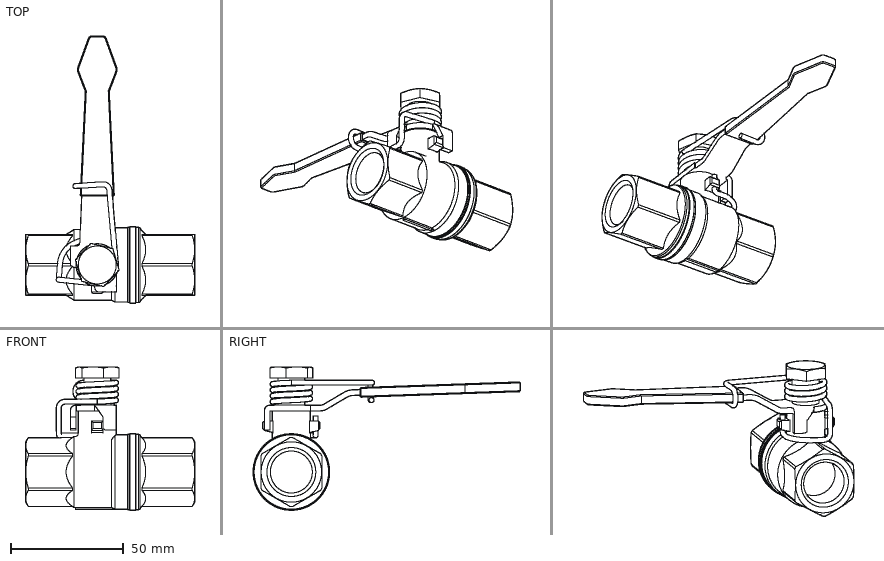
import cadquery as cq
import math


BODY_LENGTH = 75.0
TOTAL_DEPTH = 118.5
TOTAL_HEIGHT = 63.6

LEFT_END_X = -31.8
RIGHT_END_X = LEFT_END_X + BODY_LENGTH
HEX_FLATS = 27.0
HEX_TURNED_R = 15.3
END_FACE_R = 13.4
END_CHAMFER = 1.2
BARREL_R = 15.8
SLEEVE_R = 33.0 / 2
SHOULDER_R = 33.5 / 2
RING_R = 34.0 / 2
CONE_FOOT_R = 13.0
CONE_LEFT_X = -14.6
BARREL_START_X = -10.3
BARREL_START_R = 15.5
BARREL_END_X = 6.4
SLEEVE_START_X = 7.9
RING_START_X = 14.6
RING_END_X = 16.8
SHOULDER_LEAD = 1.0
SHOULDER_END_X = 18.2
NOSE_X = 19.0
NOSE_R = 16.5
CONE_TOP_X = 19.5
CONE_TOP_R = 15.5
CONE_RIGHT_X = 21.9
STEP_BEVEL = 0.2

BORE_D = 18.6
BORE_MOUTH_D = 21.7
BORE_MOUTH_DEPTH = 1.5
BORE_DEPTH = 16.6

RIB_WIDTH = 1.4
RIB_START_X = -9.7
RIB_END_X = SLEEVE_START_X
RIB_HEIGHT = 5.9

NECK_D = 17.0
NECK_FILLET = 1.2
SADDLE_MARGIN = 0.6
PIN_WIDTH = 5.2
PIN_REACH = 12.7
PIN_TOP_Z = 22.6
PIN_TIP_BOTTOM_Z = 18.6
PIN_ROOT_BOTTOM_Z = 17.2
PIN_CHAMFER = 0.7
PIN_EMBED = 1.2

SHEET = 2.6
PLATE_TOP_Z = 29.6
PLATE_BOTTOM_Z = PLATE_TOP_Z - SHEET
PLATE_SIDE = 8.4
TAB_INNER = 9.4
TAB_BOTTOM_Z = 18.6
TAB_INNER_EDGE = 2.6
TAB_ROOT_EDGE = -1.2
TAB_SLANT_Z = 24.3
TAB_CORNER = 0.7
TAB_BEND_R = 2.5
PLATE_ROUND_D = 18.6

ARM_ROOT_HALF = 7.8
ARM_END_HALF = 6.8
ARM_RAMP_Y = 13.6
ARM_KNEE_Y = 25.1
ARM_END_Y = 35.5
RAMP_ANGLE = 30.5
GRIP_ANGLE = 2.0
FOOT_BEND_R = 3.3
KNEE_BEND_R = 5.7
ARM_ROOT_FILLET = 1.4

GRIP_START_Y = 30.5
GRIP_TIP_Y = TOTAL_DEPTH - RING_R
GRIP_THICKNESS = 4.4
GRIP_START_HALF = 7.6
GRIP_WAIST_Y = 76.9
GRIP_WAIST_HALF = 5.3
GRIP_WIDE_Y = 86.5
GRIP_WIDE_HALF = 9.0
GRIP_TIP_HALF = 3.5
GRIP_TIP_ROUND = 1.8
GRIP_WIDE_ROUND = 2.4
GRIP_EDGE = 0.5

NUT_TOP_Z = TOTAL_HEIGHT - RING_R
NUT_BOTTOM_Z = 41.6
NUT_FLATS = 17.3
NUT_TURN = -13.4
NUT_CHAMFER_R = 8.4
NUT_CHAMFER_H = 0.6
SHANK_D = 12.0

WIRE_D = 2.3
COIL_R = 8.3
COIL_BOTTOM_Z = 31.2
COIL_TOP_Z = 39.6
COIL_TURNS = 3.25
LOOP_Z = 16.2
HOOK_R = 3.8
HOOK_BOTTOM_Z = 31.9
HOOK_Y = 35.0
HOOK_LEFT_X = -9.7
HOOK_CORNER = (5.1, 35.9)
HOOK_CORNER_R = 2.7
HOOK_TIP = (2.4, 35.5)
LOOP_NEAR_CORNER = (-17.1, -6.5)
LOOP_FAR_CORNER = (-16.0, 7.2)
LOOP_PIN_Y = 10.8
LOOP_PIN_TURN_X = -7.3
LOOP_TIP_X = -0.6
LOOP_TIP_Z = 24.9
LOOP_BENDS = [2.8, 2.7, 10.7, 3.5, 1.8]


def turned(profile):
    """Revolve an (x, radius) outline about the X axis."""
    return cq.Workplane("XY").polyline(profile).close().revolve(360, (0, 0, 0), (1, 0, 0))


def make_body():
    hexagon = (
        cq.Workplane("YZ", origin=(LEFT_END_X, 0, 0))
        .polygon(6, HEX_FLATS / math.cos(math.pi / 6))
        .extrude(BODY_LENGTH)
        .rotate((0, 0, 0), (1, 0, 0), 30)
    )
    envelope = turned([
        (LEFT_END_X, 0),
        (LEFT_END_X, END_FACE_R),
        (LEFT_END_X + END_CHAMFER, HEX_TURNED_R),
        (RIGHT_END_X - END_CHAMFER, HEX_TURNED_R),
        (RIGHT_END_X, END_FACE_R),
        (RIGHT_END_X, 0),
    ])
    barrel = turned([
        (CONE_LEFT_X, 0),
        (CONE_LEFT_X, CONE_FOOT_R),
        (BARREL_START_X - STEP_BEVEL, BARREL_START_R),
        (BARREL_START_X, BARREL_R),
        (BARREL_END_X, BARREL_R),
        (SLEEVE_START_X, SLEEVE_R),
        (RING_START_X - SHOULDER_LEAD - STEP_BEVEL, SLEEVE_R),
        (RING_START_X - SHOULDER_LEAD, SHOULDER_R),
        (RING_START_X - STEP_BEVEL, SHOULDER_R),
        (RING_START_X, RING_R),
        (RING_END_X, RING_R),
        (RING_END_X + STEP_BEVEL, SHOULDER_R),
        (SHOULDER_END_X, SHOULDER_R),
        (NOSE_X, NOSE_R),
        (CONE_TOP_X, CONE_TOP_R),
        (CONE_RIGHT_X, CONE_FOOT_R),
        (CONE_RIGHT_X, 0),
    ])
    rib = (
        cq.Workplane("XY", origin=(0, 0, -SLEEVE_R))
        .center((RIB_START_X + RIB_END_X) / 2, 0)
        .rect(RIB_END_X - RIB_START_X, RIB_WIDTH)
        .extrude(RIB_HEIGHT)
    )
    return hexagon.intersect(envelope).union(barrel).union(rib)


def make_bore(end_x, inward):
    """Blind bore with a tapered mouth, cut from one end of the body."""
    return turned([
        (end_x, 0),
        (end_x, BORE_MOUTH_D / 2),
        (end_x + inward * BORE_MOUTH_DEPTH, BORE_D / 2),
        (end_x + inward * BORE_DEPTH, BORE_D / 2),
        (end_x + inward * BORE_DEPTH, 0),
    ])


def make_neck():
    """Neck blended onto a short length of the barrel, which later merges with the body."""
    saddle = cq.Workplane("YZ").circle(BARREL_R).extrude(NECK_D / 2 + NECK_FILLET + SADDLE_MARGIN, both=True)
    neck = cq.Workplane("XY").circle(NECK_D / 2).extrude(PLATE_BOTTOM_Z)
    root_box = cq.selectors.BoxSelector((-NECK_D, -NECK_D, BARREL_R / 2), (NECK_D, NECK_D, BARREL_R + 1.2))
    return saddle.union(neck).edges(root_box).fillet(NECK_FILLET)


def make_pin():
    """Stop pin on the -Y side of the neck, propped by a sloping underside."""
    root = NECK_D / 2 - PIN_EMBED
    return (
        cq.Workplane("YZ")
        .polyline([
            (-root, PIN_TOP_Z),
            (-PIN_REACH, PIN_TOP_Z),
            (-PIN_REACH, PIN_TIP_BOTTOM_Z),
            (-root, PIN_ROOT_BOTTOM_Z),
        ])
        .close()
        .extrude(PIN_WIDTH / 2, both=True)
        .faces("<Y").chamfer(PIN_CHAMFER)
    )


def make_tab():
    """Stop tab bent down along the -Y side of the plate."""
    return (
        cq.Workplane("XZ", origin=(0, -TAB_INNER, 0))
        .polyline([
            (TAB_ROOT_EDGE, PLATE_TOP_Z),
            (PLATE_SIDE, PLATE_TOP_Z),
            (PLATE_SIDE, TAB_BOTTOM_Z),
            (TAB_INNER_EDGE + TAB_CORNER, TAB_BOTTOM_Z),
            (TAB_INNER_EDGE, TAB_BOTTOM_Z + TAB_CORNER),
            (TAB_INNER_EDGE, TAB_SLANT_Z),
        ])
        .close()
        .extrude(SHEET)
        .edges("<Y and >Z").fillet(TAB_BEND_R)
    )


def make_plate():
    sheet = cq.Workplane("XY", origin=(0, 0, PLATE_BOTTOM_Z))
    width = TAB_INNER + PLATE_SIDE
    middle = (PLATE_SIDE - TAB_INNER) / 2
    square = sheet.center(middle, middle).rect(width, width).extrude(SHEET)
    corner_middle = TAB_ROOT_EDGE - width / 2
    corner = sheet.center(corner_middle, corner_middle).rect(width, width).extrude(SHEET)
    disc = sheet.circle(PLATE_ROUND_D / 2).extrude(SHEET)
    front_tab = make_tab()
    side_tab = front_tab.mirror("YZ").rotate((0, 0, 0), (0, 0, 1), -90)
    return square.cut(corner).union(corner.intersect(disc)).union(front_tab).union(side_tab)


def under_corner(corner, angle_in, angle_out):
    """Corner on the underside of a bent sheet, below the given upper corner."""
    bisector = math.radians((angle_in + angle_out) / 2)
    reach = SHEET / math.cos(math.radians(angle_out - angle_in) / 2)
    return (corner[0] + reach * math.sin(bisector), corner[1] - reach * math.cos(bisector))


def rise(length, angle):
    return length * math.tan(math.radians(angle))


FOOT = (ARM_RAMP_Y, PLATE_TOP_Z)
KNEE = (ARM_KNEE_Y, PLATE_TOP_Z + rise(ARM_KNEE_Y - ARM_RAMP_Y, RAMP_ANGLE))
ARM_END = (ARM_END_Y, KNEE[1] + rise(ARM_END_Y - ARM_KNEE_Y, GRIP_ANGLE))


def make_arm():
    foot_under = under_corner(FOOT, 0, RAMP_ANGLE)
    knee_under = under_corner(KNEE, RAMP_ANGLE, GRIP_ANGLE)
    end_under = under_corner(ARM_END, GRIP_ANGLE, GRIP_ANGLE)
    outline = [(0, PLATE_TOP_Z), FOOT, KNEE, ARM_END, end_under, knee_under, foot_under, (0, PLATE_BOTTOM_Z)]
    bent = cq.Workplane("YZ").polyline(outline).close().extrude(PLATE_SIDE * 2, both=True)
    bends = [
        (FOOT, FOOT_BEND_R),
        (foot_under, FOOT_BEND_R + SHEET),
        (KNEE, KNEE_BEND_R + SHEET),
        (knee_under, KNEE_BEND_R),
    ]
    for (y, z), radius in bends:
        bend_line = cq.selectors.NearestToPointSelector((0, y, z))
        bent = bent.edges("|X").edges(bend_line).fillet(radius)
    footprint = (
        cq.Workplane("XY")
        .polyline([
            (-ARM_ROOT_HALF, 0),
            (ARM_ROOT_HALF, 0),
            (ARM_ROOT_HALF, PLATE_SIDE),
            (ARM_END_HALF, ARM_END_Y),
            (-ARM_END_HALF, ARM_END_Y),
            (-ARM_ROOT_HALF, PLATE_SIDE),
        ])
        .close()
        .extrude(NUT_TOP_Z)
    )
    return bent.intersect(footprint)


def make_grip():
    half_outline = [
        (GRIP_START_HALF, GRIP_START_Y),
        (GRIP_WAIST_HALF, GRIP_WAIST_Y),
        (GRIP_WIDE_HALF, GRIP_WIDE_Y),
        (GRIP_TIP_HALF, GRIP_TIP_Y),
    ]
    other_half = [(-x, y) for x, y in reversed(half_outline)]
    blade = cq.Workplane("XY").polyline(half_outline + other_half).close().extrude(NUT_TOP_Z)
    blade = blade.edges("|Z and >Y").fillet(GRIP_TIP_ROUND)
    blade = blade.edges("|Z and (<X or >X)").fillet(GRIP_WIDE_ROUND)

    margin = (GRIP_THICKNESS - SHEET) / 2
    start_top = ARM_END[1] - rise(ARM_END_Y - GRIP_START_Y, GRIP_ANGLE) + margin
    tip_top = start_top + rise(GRIP_TIP_Y - GRIP_START_Y, GRIP_ANGLE)
    slab = (
        cq.Workplane("YZ")
        .polyline([
            (GRIP_START_Y, start_top),
            (GRIP_TIP_Y, tip_top),
            (GRIP_TIP_Y, tip_top - GRIP_THICKNESS),
            (GRIP_START_Y, start_top - GRIP_THICKNESS),
        ])
        .close()
        .extrude(GRIP_WIDE_HALF * 2, both=True)
    )
    return blade.intersect(slab).faces("<Z or >Z or <Y").chamfer(GRIP_EDGE)


def make_nut():
    corner_r = NUT_FLATS / 2 / math.cos(math.pi / 6)
    height = NUT_TOP_Z - NUT_BOTTOM_Z
    head = (
        cq.Workplane("XY", origin=(0, 0, NUT_BOTTOM_Z))
        .polygon(6, 2 * corner_r)
        .extrude(height)
        .rotate((0, 0, 0), (0, 0, 1), NUT_TURN)
    )
    dome = (
        cq.Workplane("XZ")
        .polyline([
            (0, NUT_BOTTOM_Z),
            (corner_r, NUT_BOTTOM_Z),
            (corner_r, NUT_TOP_Z - NUT_CHAMFER_H),
            (NUT_CHAMFER_R, NUT_TOP_Z),
            (0, NUT_TOP_Z),
        ])
        .close()
        .revolve(360, (0, 0, 0), (0, 1, 0))
    )
    shank = (
        cq.Workplane("XY", origin=(0, 0, PLATE_BOTTOM_Z))
        .circle(SHANK_D / 2)
        .extrude(NUT_BOTTOM_Z - PLATE_BOTTOM_Z)
    )
    return head.intersect(dome).union(shank)


def bent_wire(points, radii):
    """Round wire along a 3D polyline whose inner corners are bent to the given radii."""
    corners = [cq.Vector(*p) for p in points]
    edges = []
    start = corners[0]
    for before, corner, after, radius in zip(corners, corners[1:], corners[2:], radii):
        back = (before - corner).normalized()
        ahead = (after - corner).normalized()
        half_angle = back.getAngle(ahead) / 2
        tangent = radius / math.tan(half_angle)
        middle = (back + ahead).normalized() * (radius / math.sin(half_angle) - radius)
        bend_start = corner + back * tangent
        bend_end = corner + ahead * tangent
        edges.append(cq.Edge.makeLine(start, bend_start))
        edges.append(cq.Edge.makeThreePointArc(bend_start, corner + middle, bend_end))
        start = bend_end
    edges.append(cq.Edge.makeLine(start, corners[-1]))
    path = cq.Wire.assembleEdges(edges)
    section = cq.Plane(origin=points[0], normal=(corners[1] - corners[0]).toTuple())
    return cq.Workplane(section).circle(WIRE_D / 2).sweep(cq.Workplane(path))


def make_coil():
    height = COIL_TOP_Z - COIL_BOTTOM_Z
    path = cq.Wire.makeHelix(height / COIL_TURNS, height, COIL_R)
    return (
        cq.Workplane("XZ", origin=(COIL_R, 0, 0))
        .circle(WIRE_D / 2)
        .sweep(cq.Workplane(path), isFrenet=True)
        .rotate((0, 0, 0), (0, 0, 1), -90)
        .translate((0, 0, COIL_BOTTOM_Z))
    )


def make_spring():
    lever_hook = bent_wire(
        [
            (COIL_R, 0, COIL_TOP_Z),
            (*HOOK_CORNER, COIL_TOP_Z),
            (HOOK_LEFT_X, HOOK_Y, COIL_TOP_Z),
            (HOOK_LEFT_X, HOOK_Y, HOOK_BOTTOM_Z),
            (*HOOK_TIP, HOOK_BOTTOM_Z),
        ],
        [HOOK_CORNER_R, HOOK_R, HOOK_R],
    )
    neck_loop = bent_wire(
        [
            (0, -COIL_R, COIL_BOTTOM_Z),
            (*LOOP_NEAR_CORNER, COIL_BOTTOM_Z),
            (*LOOP_NEAR_CORNER, LOOP_Z),
            (*LOOP_FAR_CORNER, LOOP_Z),
            (LOOP_PIN_TURN_X, LOOP_PIN_Y, LOOP_Z),
            (LOOP_TIP_X, LOOP_PIN_Y, LOOP_Z),
            (LOOP_TIP_X, LOOP_PIN_Y, LOOP_TIP_Z),
        ],
        LOOP_BENDS,
    )
    return make_coil().union(lever_hook).union(neck_loop)


valve = make_body().union(make_neck())
valve = valve.cut(make_bore(LEFT_END_X, 1)).cut(make_bore(RIGHT_END_X, -1))
pin = make_pin()
valve = valve.union(pin).union(pin.mirror("XZ"))
lever = make_plate().union(make_arm())
arm_root = cq.selectors.NearestToPointSelector((-ARM_ROOT_HALF, PLATE_SIDE, PLATE_TOP_Z - SHEET / 2))
lever = lever.edges("|Z").edges(arm_root).fillet(ARM_ROOT_FILLET)
lever = lever.union(make_grip())
result = valve.union(lever).union(make_nut()).union(make_spring())